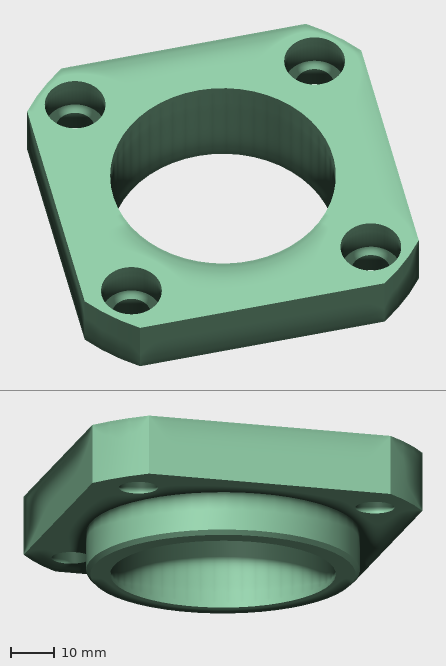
import cadquery as cq

flange_diameter = 97.9
flange_width = 79.0
flange_thickness = 14.0

total_height = 24.0
spigot_height = total_height - flange_thickness
spigot_diameter = 63.0
spigot_chamfer = 1.0
bore_diameter = 52.0

screw_count = 4
screw_circle_radius = 40.0
screw_diameter = 9.0
counterbore_diameter = 14.0
counterbore_depth = 8.5


def make_flange():
    square = (
        cq.Workplane("XY")
        .rect(flange_width, flange_width)
        .extrude(flange_thickness)
        .rotate((0, 0, 0), (0, 0, 1), 45)
    )
    disc = cq.Workplane("XY").circle(flange_diameter / 2).extrude(flange_thickness)
    return square.intersect(disc)


def make_spigot():
    return (
        cq.Workplane("XY")
        .circle(spigot_diameter / 2)
        .extrude(-spigot_height)
        .faces("<Z")
        .edges()
        .chamfer(spigot_chamfer)
    )


def make_bore():
    return (
        cq.Workplane("XY", origin=(0, 0, -spigot_height))
        .circle(bore_diameter / 2)
        .extrude(total_height)
    )


body = make_flange().union(make_spigot()).cut(make_bore())

result = (
    body.faces(">Z")
    .workplane(origin=(0, 0, flange_thickness))
    .polarArray(screw_circle_radius, 0, 360, screw_count)
    .cboreHole(screw_diameter, counterbore_diameter, counterbore_depth)
)